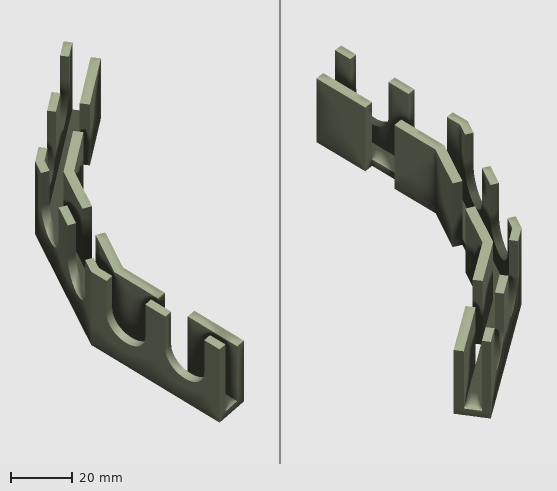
import cadquery as cq
import math

length = 147.5
depth = 38.0
height = 35.0
wing_angle = 30.0

front_thickness = 3.0
channel_width = 6.0
back_thickness = 3.4
floor_thickness = 3.0
back_height = 29.0

slot_width = 16.5
slot_bottom = 11.0
slot_spacing = 25.0
back_gap_width = 12.5

section_depth = front_thickness + channel_width + back_thickness
back_start = front_thickness + channel_width
angle = math.radians(wing_angle)
wing_rise = depth - section_depth * math.cos(angle)
wing_length = wing_rise / math.sin(angle)
bend_x = length / 2 - wing_length * math.cos(angle)
front_y = -depth / 2


def path_points(offset):
    """Left-to-right plan points at an offset behind the front face."""
    corner_x = bend_x - offset * math.tan(angle / 2)
    end_x = length / 2 - offset * math.sin(angle)
    corner_y = front_y + offset
    end_y = front_y + wing_rise + offset * math.cos(angle)
    return [(-end_x, end_y), (-corner_x, corner_y), (corner_x, corner_y), (end_x, end_y)]


def bent_strip(start, thickness, strip_height):
    """A three-sided strip with mitred bends and square wing ends."""
    outline = path_points(start) + path_points(start + thickness)[::-1]
    return cq.Workplane("XY").polyline(outline).close().extrude(strip_height)


def wire_slot(offset):
    """A round-bottomed slot through the front wall, open at the top."""
    radius = slot_width / 2
    center_z = slot_bottom + radius
    return (
        cq.Workplane("XZ")
        .moveTo(offset - radius, height)
        .lineTo(offset - radius, center_z)
        .threePointArc((offset, slot_bottom), (offset + radius, center_z))
        .lineTo(offset + radius, height)
        .close()
        .extrude(-front_thickness)
    )


def back_gap():
    """A rectangular gap through the back wall and the floor edge below it."""
    return (
        cq.Workplane("XY")
        .box(back_gap_width, back_thickness, back_height, centered=(True, False, False))
        .translate((0, back_start, 0))
    )


floor = bent_strip(0, section_depth, floor_thickness)
front_wall = bent_strip(0, front_thickness, height)
back_wall = bent_strip(back_start, back_thickness, back_height)
result = floor.union(front_wall).union(back_wall)

openings = [wire_slot(-slot_spacing / 2), wire_slot(slot_spacing / 2), back_gap()]
wing_middle_x = (bend_x + length / 2) / 2
for side in (-1, 0, 1):
    middle_y = front_y + abs(side) * wing_rise / 2
    for opening in openings:
        turned = opening.rotate((0, 0, 0), (0, 0, 1), side * wing_angle)
        result = result.cut(turned.translate((side * wing_middle_x, middle_y, 0)))